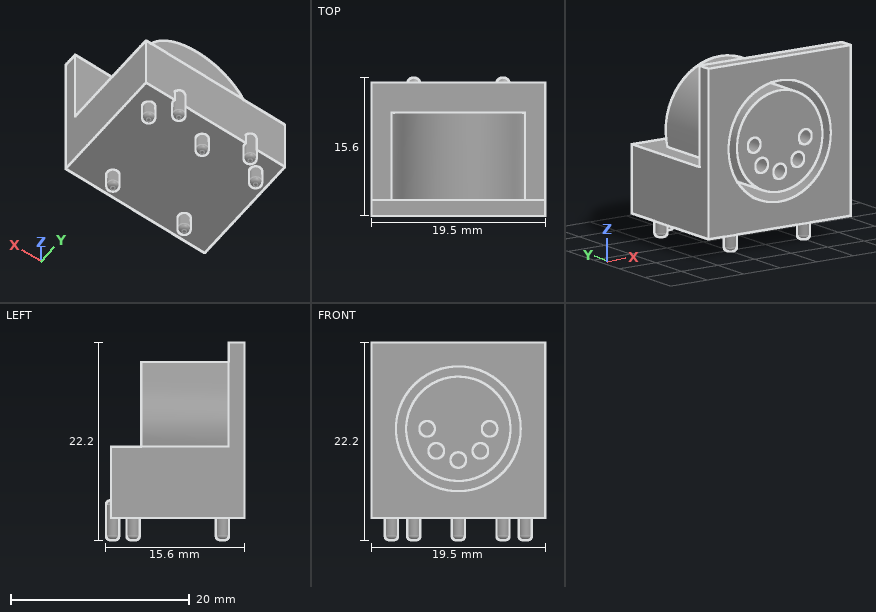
import cadquery as cq
import math


housing_width = 19.5
housing_depth = 15.0
base_height = 8.0
flange_height = 19.7
flange_thickness = 1.8
socket_height = 10.0
barrel_diameter = 15.0
barrel_length = 9.8

groove_outer_diameter = 14.0
core_diameter = 11.7
back_wall = flange_thickness
groove_depth = flange_thickness + barrel_length - back_wall

contact_hole_diameter = 1.75
contact_circle_radius = 3.5
contact_count = 5
contact_step_angle = 45.0
contact_start_angle = 180.0
contact_hole_depth = groove_depth

pin_diameter = 1.5
pin_below_housing = 2.5
pin_inside_housing = 2.0
pin_end_fillet = 0.5

inner_pin_offset = 5.0
outer_pin_offset = 7.5
front_row = 2.5
middle_row = 12.5
rear_row = 14.8

pin_positions = [
    (-inner_pin_offset, front_row),
    (inner_pin_offset, front_row),
    (-outer_pin_offset, middle_row),
    (0, middle_row),
    (outer_pin_offset, middle_row),
    (-inner_pin_offset, rear_row),
    (inner_pin_offset, rear_row),
]


def socket_plane():
    """Plane on the flange front, centred on the socket, with its normal pointing out (-Y)."""
    return cq.Workplane("XZ", origin=(0, 0, socket_height))


def make_pin(x, y):
    """Round pin with both ends rounded, its upper part inside the housing."""
    length = pin_below_housing + pin_inside_housing
    return (
        cq.Workplane("XY", origin=(x, y, -pin_below_housing))
        .circle(pin_diameter / 2)
        .extrude(length)
        .edges("%CIRCLE")
        .fillet(pin_end_fillet)
    )


def make_housing_blank():
    """L-shaped block of base and flange, with the barrel behind the flange."""
    profile = [
        (0, 0),
        (housing_depth, 0),
        (housing_depth, base_height),
        (flange_thickness, base_height),
        (flange_thickness, flange_height),
        (0, flange_height),
    ]
    block = cq.Workplane("YZ").polyline(profile).close().extrude(housing_width / 2, both=True)
    barrel = socket_plane().circle(barrel_diameter / 2).extrude(-(flange_thickness + barrel_length))
    return block.union(barrel)


def make_groove():
    """Ring of space between the socket wall and the core."""
    return (
        socket_plane()
        .circle(groove_outer_diameter / 2)
        .circle(core_diameter / 2)
        .extrude(-groove_depth)
    )


def make_contact_holes():
    """Contact holes spread over the lower half circle of the core."""
    centres = []
    for index in range(contact_count):
        angle = math.radians(contact_start_angle + index * contact_step_angle)
        x = contact_circle_radius * math.cos(angle)
        z = contact_circle_radius * math.sin(angle)
        centres.append((x, z))
    return (
        socket_plane()
        .pushPoints(centres)
        .circle(contact_hole_diameter / 2)
        .extrude(-contact_hole_depth)
    )


pins = [make_pin(x, y) for x, y in pin_positions]

housing = make_housing_blank().cut(make_groove()).cut(make_contact_holes())

for pin in pins:
    housing = housing.cut(pin)

result = cq.Compound.makeCompound([housing.val(), *[pin.val() for pin in pins]])